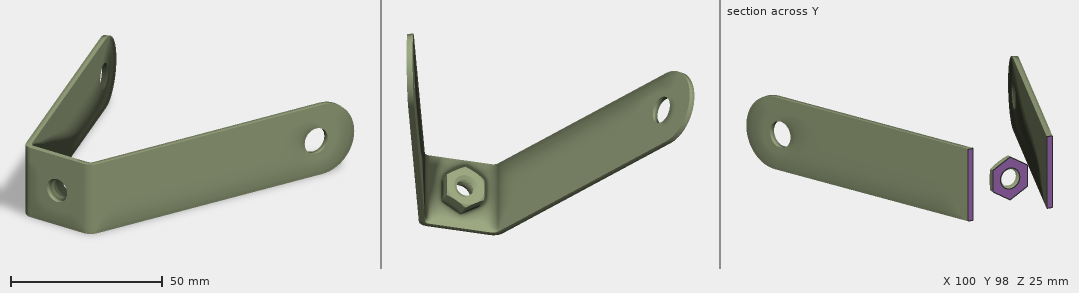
import cadquery as cq
import math

overall_width = 100.0
overall_depth = 98.0
strip_width = 25.0
thickness = 2.0
splay_angle = 20.5
outer_bend_radius = 4.0
leg_hole_diameter = 9.0
leg_hole_from_tip = 15.0

nut_across_flats = 13.0
nut_height = 6.0
nut_chamfer_angle = 30.0
plate_hole_diameter = 8.2
thread_crest_diameter = 6.0
thread_count = 5

splay = math.radians(splay_angle)
bend = math.pi / 2 - splay
along = (math.sin(splay), math.cos(splay))
inward = (-math.cos(splay), math.sin(splay))

tip = (overall_width / 2, overall_depth - thickness * inward[1])
leg_start_y = outer_bend_radius * (1 - math.cos(bend))
leg_length = (tip[1] - leg_start_y) / along[1]
leg_start = (tip[0] - leg_length * along[0], leg_start_y)
flat_half = leg_start[0] - outer_bend_radius * math.sin(bend)


def bend_point(radius, angle):
    """Point on the right bend, at an angle measured from the base."""
    return (flat_half + radius * math.sin(angle), outer_bend_radius - radius * math.cos(angle))


def make_base_and_bends():
    inner_radius = outer_bend_radius - thickness
    half = (
        cq.Workplane("XY")
        .moveTo(0, 0)
        .lineTo(flat_half, 0)
        .threePointArc(bend_point(outer_bend_radius, bend / 2), leg_start)
        .lineTo(*bend_point(inner_radius, bend))
        .threePointArc(bend_point(inner_radius, bend / 2), (flat_half, thickness))
        .lineTo(0, thickness)
        .close()
        .extrude(strip_width / 2, both=True)
    )
    return half.union(half.mirror("YZ"))


def make_right_leg():
    """Flat leg with a round end, drawn on its outer face from the tip back to the bend."""
    end_radius = strip_width / 2
    plane = cq.Plane(
        origin=(tip[0], tip[1], 0),
        xDir=(-along[0], -along[1], 0),
        normal=(inward[0], inward[1], 0),
    )
    leg = (
        cq.Workplane(plane)
        .moveTo(leg_length, -end_radius)
        .lineTo(end_radius, -end_radius)
        .threePointArc((0, 0), (end_radius, end_radius))
        .lineTo(leg_length, end_radius)
        .close()
        .extrude(thickness)
    )
    hole = cq.Workplane(plane).center(leg_hole_from_tip, 0).circle(leg_hole_diameter / 2).extrude(thickness)
    return leg.cut(hole)


def make_nut():
    """Hexagon with two corners on Z and the corners of its free end bevelled."""
    corner_radius = nut_across_flats / math.sqrt(3)
    chamfer_height = (corner_radius - nut_across_flats / 2) * math.tan(math.radians(nut_chamfer_angle))
    free_end = thickness + nut_height
    hexagon = (
        cq.Workplane("XZ", origin=(0, thickness, 0))
        .polygon(6, 2 * corner_radius)
        .extrude(-nut_height)
        .rotate((0, 0, 0), (0, 1, 0), 30)
    )
    envelope = (
        cq.Workplane("XY")
        .moveTo(0, thickness)
        .lineTo(corner_radius, thickness)
        .lineTo(corner_radius, free_end - chamfer_height)
        .lineTo(nut_across_flats / 2, free_end)
        .lineTo(0, free_end)
        .close()
        .revolve(360, (0, 0, 0), (0, 1, 0))
    )
    return hexagon.intersect(envelope)


def make_bore():
    """Plain hole through the base, then ring-shaped thread grooves through the nut."""
    root_radius = plate_hole_diameter / 2
    crest_radius = thread_crest_diameter / 2
    pitch = nut_height / thread_count
    profile = cq.Workplane("XY").lineTo(root_radius, 0).lineTo(root_radius, thickness)
    for turn in range(thread_count):
        groove_start = thickness + turn * pitch
        profile = profile.lineTo(crest_radius, groove_start + pitch / 2)
        profile = profile.lineTo(root_radius, groove_start + pitch)
    profile = profile.lineTo(0, thickness + nut_height).close()
    return profile.revolve(360, (0, 0, 0), (0, 1, 0))


right_leg = make_right_leg()
result = make_base_and_bends().union(right_leg).union(right_leg.mirror("YZ"))
result = result.union(make_nut()).cut(make_bore())